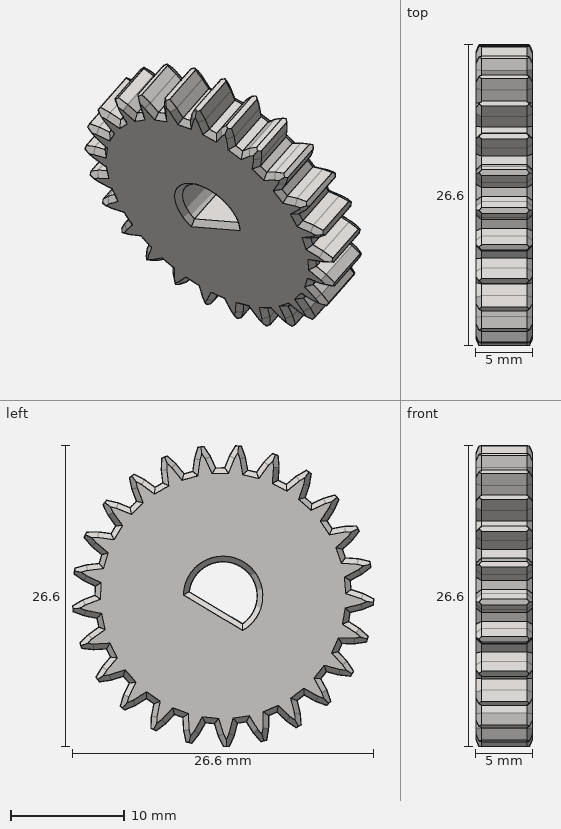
import cadquery as cq
import math

face_width = 5.0
tooth_count = 25
tooth_pitch = 360 / tooth_count
first_tooth_angle = 95.9

root_radius = 11.34
pitch_radius = 12.4
tip_radius = 13.33
root_half_angle = 5.2
pitch_half_angle = 3.3
tip_half_width = 0.27

bore_radius = 3.0
bore_flat_distance = 1.22
bore_flat_angle = -59.0

edge_chamfer = 0.5


def polar_point(radius, angle):
    """Point in the YZ plane at an angle in degrees from +Y towards +Z."""
    radians = math.radians(angle)
    return radius * math.cos(radians), radius * math.sin(radians)


def pointed_tooth_radius():
    """Radius where the two upper flanks of a tooth would meet."""
    pitch_height, pitch_half_width = polar_point(pitch_radius, pitch_half_angle)
    tip_height = math.sqrt(tip_radius**2 - tip_half_width**2)
    flank_slope = (tip_height - pitch_height) / (pitch_half_width - tip_half_width)
    return tip_height + tip_half_width * flank_slope


def pointed_gear_blank():
    """Gear whose teeth still run up to sharp points."""
    peak_radius = pointed_tooth_radius()
    outline = []
    for tooth in range(tooth_count):
        centre_angle = first_tooth_angle + tooth * tooth_pitch
        outline += [
            polar_point(root_radius, centre_angle - root_half_angle),
            polar_point(pitch_radius, centre_angle - pitch_half_angle),
            polar_point(peak_radius, centre_angle),
            polar_point(pitch_radius, centre_angle + pitch_half_angle),
            polar_point(root_radius, centre_angle + root_half_angle),
        ]
    return cq.Workplane("YZ").polyline(outline).close().extrude(face_width / 2, both=True)


def d_bore():
    """Cylinder with one side cut flat."""
    cylinder = cq.Workplane("YZ").circle(bore_radius).extrude(face_width / 2, both=True)
    flat_side = (
        cq.Workplane("YZ")
        .transformed(rotate=(0, 0, bore_flat_angle - 180))
        .center(bore_radius - bore_flat_distance, 0)
        .rect(2 * bore_radius, 2 * bore_radius)
        .extrude(face_width / 2, both=True)
    )
    return cylinder.intersect(flat_side)


def tip_envelope():
    """Regular prism with one flat across the top of every tooth."""
    flat_distance = math.sqrt(tip_radius**2 - tip_half_width**2)
    corner_radius = flat_distance / math.cos(math.radians(tooth_pitch / 2))
    corners = [
        polar_point(corner_radius, first_tooth_angle + (tooth + 0.5) * tooth_pitch)
        for tooth in range(tooth_count)
    ]
    return cq.Workplane("YZ").polyline(corners).close().extrude(face_width / 2, both=True)


gear = pointed_gear_blank().cut(d_bore())
gear = gear.faces("<X or >X").chamfer(edge_chamfer)
result = gear.intersect(tip_envelope())